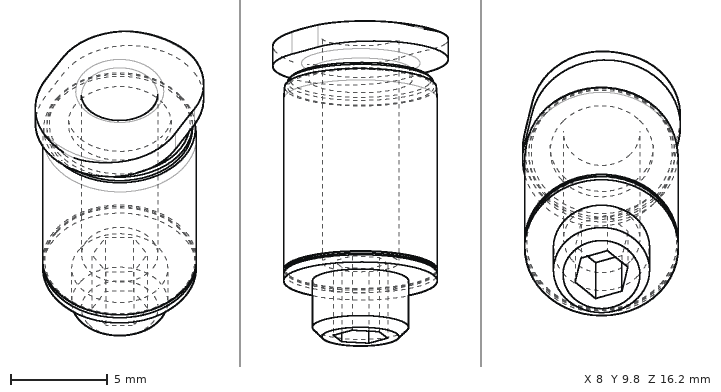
import cadquery as cq
import math

total_height = 16.2
stem_chamfer = 0.5
flange_bottom = 3.0
flange_chamfer_start = 3.39
flange_top = 3.5
sleeve_bottom = 3.6
taper_start = 12.78
sleeve_top = 13.4
collar_top = 13.79
collar_chamfer = 0.13
head_bottom = 14.7
bore_floor = 4.0

stem_radius = 5.0 / 2
sleeve_radius = 8.0 / 2
flange_groove_radius = 3.9
sleeve_top_radius = 3.95
collar_radius = 7.6 / 2
neck_radius = 5.36 / 2
neck_flare = 0.4

head_width = 7.8
head_length = 9.8
head_slope = 0.18
head_round_width = 0.15
head_round_height = 0.21

bore_radius = 3.97 / 2
bore_lip = 0.3
hex_across_flats = 2.5


def quarter_arc_middle(center_r, center_z, width, height):
    """Point at 45 degrees on a quarter ellipse; signed half-axes give the quadrant."""
    return (center_r + width * math.sqrt(0.5), center_z + height * math.sqrt(0.5))


def make_body():
    """Stem, flange, sleeve, collar and flared neck, turned about Z."""
    flare_radius = neck_radius + neck_flare
    flare_bottom = head_bottom - neck_flare
    flare_middle = quarter_arc_middle(flare_radius, flare_bottom, -neck_flare, neck_flare)
    return (
        cq.Workplane("XZ")
        .moveTo(0, 0)
        .lineTo(stem_radius - stem_chamfer, 0)
        .lineTo(stem_radius, stem_chamfer)
        .lineTo(stem_radius, flange_bottom)
        .lineTo(sleeve_radius, flange_bottom)
        .lineTo(sleeve_radius, flange_chamfer_start)
        .lineTo(flange_groove_radius, flange_top)
        .lineTo(flange_groove_radius, sleeve_bottom)
        .lineTo(sleeve_radius, sleeve_bottom)
        .lineTo(sleeve_radius, taper_start)
        .lineTo(sleeve_top_radius, sleeve_top)
        .lineTo(collar_radius, sleeve_top)
        .lineTo(collar_radius, collar_top - collar_chamfer)
        .lineTo(collar_radius - collar_chamfer, collar_top)
        .lineTo(neck_radius, collar_top)
        .lineTo(neck_radius, flare_bottom)
        .threePointArc(flare_middle, (flare_radius, head_bottom))
        .lineTo(0, head_bottom)
        .close()
        .revolve(360, (0, 0, 0), (0, 1, 0))
    )


def make_head():
    """Round conical-topped disc trimmed to an oblong outline along Y."""
    rim_radius = head_length / 2
    lip_radius = bore_radius + bore_lip
    cone_radius = rim_radius - head_round_width
    cone_edge = total_height - head_slope * (cone_radius - lip_radius)
    round_bottom = cone_edge - head_round_height
    round_middle = quarter_arc_middle(cone_radius, round_bottom, head_round_width, head_round_height)
    disc = (
        cq.Workplane("XZ")
        .moveTo(0, head_bottom)
        .lineTo(rim_radius, head_bottom)
        .lineTo(rim_radius, round_bottom)
        .threePointArc(round_middle, (cone_radius, cone_edge))
        .lineTo(lip_radius, total_height)
        .lineTo(0, total_height)
        .close()
        .revolve(360, (0, 0, 0), (0, 1, 0))
    )
    outline = (
        cq.Workplane("XY", origin=(0, 0, head_bottom))
        .slot2D(head_length, head_width, 90)
        .extrude(total_height - head_bottom)
    )
    return disc.intersect(outline)


def make_bore():
    """Tube bore with a rounded lip at the top."""
    lip_radius = bore_radius + bore_lip
    lip_bottom = total_height - bore_lip
    return (
        cq.Workplane("XZ")
        .moveTo(0, bore_floor)
        .lineTo(bore_radius, bore_floor)
        .lineTo(bore_radius, lip_bottom)
        .threePointArc(
            quarter_arc_middle(lip_radius, lip_bottom, -bore_lip, bore_lip),
            (lip_radius, total_height),
        )
        .lineTo(0, total_height)
        .close()
        .revolve(360, (0, 0, 0), (0, 1, 0))
    )


def make_hex_socket():
    """Hexagonal through opening with flats facing X and corners on Y."""
    hex_across_corners = hex_across_flats / math.cos(math.pi / 6)
    return (
        cq.Workplane("XY")
        .transformed(rotate=(0, 0, 90))
        .polygon(6, hex_across_corners)
        .extrude(total_height)
    )


result = make_body().union(make_head()).cut(make_bore()).cut(make_hex_socket())